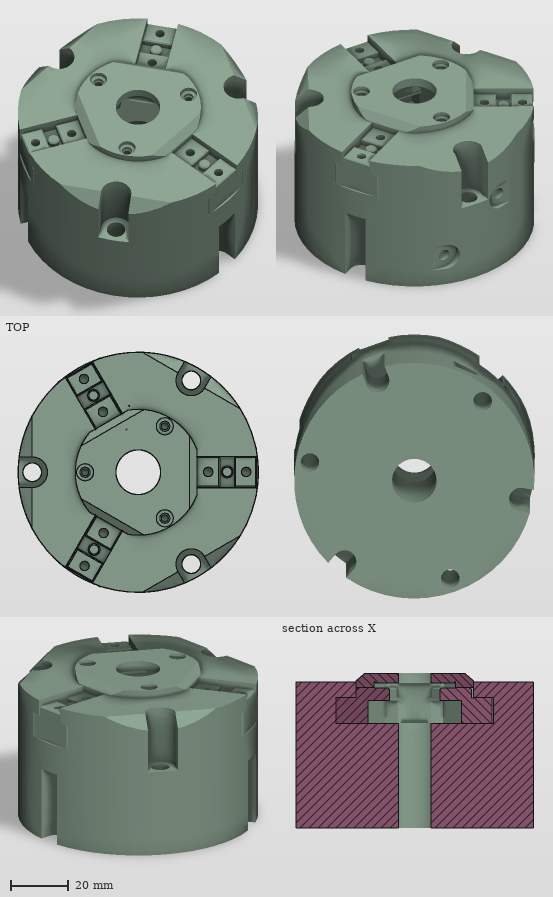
import cadquery as cq
import math


JAW_ANGLES = (0, 120, 240)
MOUNT_ANGLES = (60, 180, 300)

HOUSING_DIAMETER = 84.0
HOUSING_RADIUS = HOUSING_DIAMETER / 2
HOUSING_HEIGHT = 51.15
BORE_DIAMETER = 15.5
CAVITY_DIAMETER = 30.0

GUIDE_FLOOR_Z = 36.6
GUIDE_SHOULDER_Z = 45.4
GUIDE_HEAD_WIDTH = 18.05
GUIDE_NECK_WIDTH = 11.0

JAW_INNER_RADIUS = 10.3
JAW_OUTER_RADIUS = 41.3
JAW_TOP_Z = 49.0
JAW_SIDE_PLAY = 0.25
JAW_HEAD_WIDTH = GUIDE_HEAD_WIDTH - JAW_SIDE_PLAY
JAW_NECK_WIDTH = GUIDE_NECK_WIDTH - JAW_SIDE_PLAY
JAW_CHAMFER = 0.4
JAW_CORNER_CHAMFER = 0.6
JAW_HOLE_DIAMETER = 3.3
JAW_HOLE_DEPTH = 5.9
KEYWAY_RADIUS = 31.1
KEYWAY_WIDTH = 5.1
KEYWAY_DEPTH = 2.5
JAW_HOLE_OFFSET = 6.6
STUD_DIAMETER = 4.1
STUD_HEIGHT = 2.1
STUD_CHAMFER = 0.4
NOSE_UNDERSIDE_Z = 44.4
NOSE_LIP = 0.4
NOSE_ROOT_RADIUS = 16.8

MOUNT_RADIUS = 37.0
MOUNT_HOLE_DIAMETER = 6.5
MOUNT_POCKET_WIDTH = 10.7
MOUNT_POCKET_FLOOR_Z = 30.9
EDGE_BEVEL_RADIUS = 37.0
ROOT_SLOT_RADIUS = 37.8
ROOT_SLOT_WIDTH = 8.2
ROOT_SLOT_HEIGHT = 26.0

PORT_FACE_X = -39.05
PORT_OFFSET = 11.0
PORT_HEIGHTS = {-1: 30.0, 1: 11.5}
PORT_POCKET_DIAMETER = 10.0
PORT_DIAMETER = 4.1
PORT_DEPTH = 10.1

TOTAL_HEIGHT = 54.0
COVER_DIAMETER = 44.0
COVER_FLAT_RADIUS = 20.6
COVER_BEVEL = 2.6
COVER_SPIGOT_DEPTH = 0.5
COVER_SCREW_RADIUS = 18.6
COVER_SCREW_HOLE_DIAMETER = 3.5
COVER_COUNTERBORE_DIAMETER = 6.0
COVER_COUNTERBORE_DEPTH = 1.7
SCREW_THREAD_DIAMETER = 2.4
SCREW_THREAD_DEPTH = 6.7

DRILL_POINT_ANGLE = 118.0


def turned(solid, angle):
    """Turn a shape made on the +X side about the gripper axis."""
    return solid.rotate((0, 0, 0), (0, 0, 1), angle)


def block(x_min, x_max, width, z_min, z_max):
    """A box centred on Y = 0."""
    middle = ((x_min + x_max) / 2, 0, z_min)
    return cq.Workplane("XY", origin=middle).rect(x_max - x_min, width).extrude(z_max - z_min)


def cylinder(diameter, x, z_min, z_max):
    """An upright cylinder with its axis at X = x, Y = 0."""
    return cq.Workplane("XY", origin=(x, 0, z_min)).circle(diameter / 2).extrude(z_max - z_min)


def drilled_hole(diameter, depth):
    """A blind hole going down from the origin, with a conical drill point below its depth."""
    radius = diameter / 2
    tip = radius / math.tan(math.radians(DRILL_POINT_ANGLE / 2))
    return (
        cq.Workplane("XZ")
        .polyline([(0, 0), (radius, 0), (radius, -depth), (0, -depth - tip)])
        .close()
        .revolve(360, (0, 0, 0), (0, 1, 0))
    )


def u_pocket(center_radius, width, z_min, z_max):
    """A pocket with a round inner end, open towards +X."""
    outer = block(center_radius, HOUSING_DIAMETER, width, z_min, z_max)
    return cylinder(width, center_radius, z_min, z_max).union(outer)


def edge_bevel():
    """A 45 degree wedge that trims the top edge on the +X side."""
    reach = 2 * (HOUSING_RADIUS - EDGE_BEVEL_RADIUS)
    return (
        cq.Workplane("XZ")
        .moveTo(EDGE_BEVEL_RADIUS, HOUSING_HEIGHT)
        .lineTo(EDGE_BEVEL_RADIUS + reach, HOUSING_HEIGHT)
        .lineTo(EDGE_BEVEL_RADIUS + reach, HOUSING_HEIGHT - reach)
        .close()
        .extrude(HOUSING_RADIUS, both=True)
    )


def port(side):
    """A drilled air port whose flat seat runs out of the housing away from Y = 0."""
    depth = HOUSING_RADIUS + PORT_FACE_X
    seat = cq.Workplane("YZ", origin=(-HOUSING_RADIUS, 0, 0))
    pocket = seat.circle(PORT_POCKET_DIAMETER / 2).extrude(depth)
    run_out = seat.center(side * PORT_POCKET_DIAMETER / 2, 0)
    pocket = pocket.union(run_out.rect(PORT_POCKET_DIAMETER, PORT_POCKET_DIAMETER).extrude(depth))
    hole = drilled_hole(PORT_DIAMETER, PORT_DEPTH).rotate((0, 0, 0), (0, 1, 0), -90)
    hole = hole.translate((PORT_FACE_X, 0, 0))
    return pocket.union(hole).translate((0, side * PORT_OFFSET, PORT_HEIGHTS[side]))


def make_housing():
    housing = cylinder(HOUSING_DIAMETER, 0, 0, HOUSING_HEIGHT)
    housing = housing.cut(cylinder(BORE_DIAMETER, 0, 0, HOUSING_HEIGHT))
    housing = housing.cut(cylinder(CAVITY_DIAMETER, 0, GUIDE_FLOOR_Z, HOUSING_HEIGHT))

    guide = block(0, HOUSING_DIAMETER, GUIDE_HEAD_WIDTH, GUIDE_FLOOR_Z, GUIDE_SHOULDER_Z)
    guide = guide.union(block(0, HOUSING_DIAMETER, GUIDE_NECK_WIDTH, GUIDE_FLOOR_Z, HOUSING_HEIGHT))
    root_slot = u_pocket(ROOT_SLOT_RADIUS, ROOT_SLOT_WIDTH, 0, ROOT_SLOT_HEIGHT)
    for angle in JAW_ANGLES:
        housing = housing.cut(turned(guide, angle))
        housing = housing.cut(turned(root_slot, angle))

    pocket = u_pocket(MOUNT_RADIUS, MOUNT_POCKET_WIDTH, MOUNT_POCKET_FLOOR_Z, HOUSING_HEIGHT)
    mount_hole = cylinder(MOUNT_HOLE_DIAMETER, MOUNT_RADIUS, 0, HOUSING_HEIGHT)
    thread = drilled_hole(SCREW_THREAD_DIAMETER, SCREW_THREAD_DEPTH)
    thread = thread.translate((COVER_SCREW_RADIUS, 0, HOUSING_HEIGHT))
    for angle in MOUNT_ANGLES:
        for cutter in (pocket, mount_hole, edge_bevel(), thread):
            housing = housing.cut(turned(cutter, angle))

    for side in PORT_HEIGHTS:
        housing = housing.cut(port(side))
    return housing


def make_jaw():
    """The jaw on the +X side: a T-shaped slide with two pads, a cross keyway and a stud."""
    head = block(JAW_INNER_RADIUS, JAW_OUTER_RADIUS, JAW_HEAD_WIDTH, GUIDE_FLOOR_Z, GUIDE_SHOULDER_Z)
    head = head.edges("|Z and >X").chamfer(JAW_CORNER_CHAMFER)
    keyway_floor_z = JAW_TOP_Z - KEYWAY_DEPTH
    neck = block(JAW_INNER_RADIUS, JAW_OUTER_RADIUS, JAW_NECK_WIDTH, GUIDE_FLOOR_Z, keyway_floor_z)
    jaw = head.union(neck)

    keyway_inner = KEYWAY_RADIUS - KEYWAY_WIDTH / 2
    keyway_outer = KEYWAY_RADIUS + KEYWAY_WIDTH / 2
    for inner, outer in ((JAW_INNER_RADIUS, keyway_inner), (keyway_outer, JAW_OUTER_RADIUS)):
        pad = block(inner, outer, JAW_NECK_WIDTH, keyway_floor_z, JAW_TOP_Z)
        jaw = jaw.union(pad.faces(">Z").edges().chamfer(JAW_CHAMFER))

    stud = cylinder(STUD_DIAMETER, KEYWAY_RADIUS, keyway_floor_z, keyway_floor_z + STUD_HEIGHT)
    jaw = jaw.union(stud.faces(">Z").edges().chamfer(STUD_CHAMFER))

    hole = drilled_hole(JAW_HOLE_DIAMETER, JAW_HOLE_DEPTH)
    for offset in (-JAW_HOLE_OFFSET, JAW_HOLE_OFFSET):
        jaw = jaw.cut(hole.translate((KEYWAY_RADIUS + offset, 0, JAW_TOP_Z)))

    undercut = block(0, NOSE_ROOT_RADIUS, JAW_HEAD_WIDTH, GUIDE_FLOOR_Z, NOSE_UNDERSIDE_Z)
    lip = (
        cq.Workplane("XZ")
        .moveTo(JAW_INNER_RADIUS, NOSE_UNDERSIDE_Z)
        .lineTo(JAW_INNER_RADIUS - NOSE_LIP, NOSE_UNDERSIDE_Z)
        .lineTo(JAW_INNER_RADIUS, NOSE_UNDERSIDE_Z + NOSE_LIP)
        .close()
        .extrude(JAW_HEAD_WIDTH / 2, both=True)
    )
    return jaw.cut(undercut).union(lip).translate((0, JAW_SIDE_PLAY / 2, 0))


def make_cover():
    cover = cylinder(COVER_DIAMETER, 0, HOUSING_HEIGHT, TOTAL_HEIGHT)

    flat = (
        cq.Workplane("XZ")
        .moveTo(COVER_FLAT_RADIUS, HOUSING_HEIGHT)
        .lineTo(COVER_FLAT_RADIUS, TOTAL_HEIGHT - COVER_BEVEL)
        .lineTo(COVER_FLAT_RADIUS - COVER_BEVEL, TOTAL_HEIGHT)
        .lineTo(COVER_DIAMETER, TOTAL_HEIGHT)
        .lineTo(COVER_DIAMETER, HOUSING_HEIGHT)
        .close()
        .extrude(COVER_DIAMETER, both=True)
    )
    tongue = block(CAVITY_DIAMETER / 2, COVER_FLAT_RADIUS, GUIDE_NECK_WIDTH, JAW_TOP_Z, HOUSING_HEIGHT)
    for angle in JAW_ANGLES:
        cover = cover.cut(turned(flat, angle))
    for angle in JAW_ANGLES:
        cover = cover.union(turned(tongue, angle))

    spigot_z = HOUSING_HEIGHT - COVER_SPIGOT_DEPTH
    cover = cover.union(cylinder(CAVITY_DIAMETER, 0, spigot_z, HOUSING_HEIGHT))
    cover = cover.cut(cylinder(BORE_DIAMETER, 0, spigot_z, TOTAL_HEIGHT))

    screw_hole = cylinder(COVER_SCREW_HOLE_DIAMETER, COVER_SCREW_RADIUS, HOUSING_HEIGHT, TOTAL_HEIGHT)
    counterbore = cylinder(
        COVER_COUNTERBORE_DIAMETER, COVER_SCREW_RADIUS, TOTAL_HEIGHT - COVER_COUNTERBORE_DEPTH, TOTAL_HEIGHT
    )
    for angle in MOUNT_ANGLES:
        cover = cover.cut(turned(screw_hole.union(counterbore), angle))
    return cover


housing = make_housing()
cover = make_cover()
jaws = [turned(make_jaw(), angle) for angle in JAW_ANGLES]

result = cq.Compound.makeCompound([housing.val(), cover.val(), *[jaw.val() for jaw in jaws]])